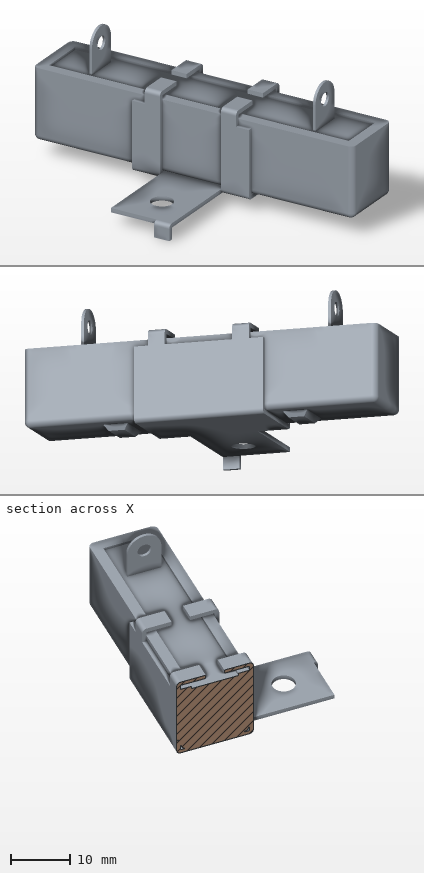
import cadquery as cq

body_length = 63.0
body_width = 12.5
body_height = 13.5
body_edge_radius = 1.0
rim_width = 2.0
recess_depth = 0.5

terminal_x = 22.0
terminal_width = 6.2
terminal_thickness = 0.5
terminal_height = 7.5
terminal_hole_diameter = 2.5
terminal_hole_height = 4.3
terminal_root_depth = 1.0

foot_x = 16.0
foot_height = 0.95
foot_top_size = (4.4, 7.2)
foot_bottom_size = (2.8, 5.7)

sheet = 0.8
clamp_length = 23.0
clamp_bend_radius = 0.8
shoulder_height = 12.3
finger_inner_x = 6.0
finger_width = 3.0
finger_top = 15.1
finger_tip_y = 1.7
clamp_half_width = body_width / 2 + sheet

overall_depth = 30.9
tab_width = 2 * finger_inner_x
tab_end_y = clamp_half_width - overall_depth
tab_hole_diameter = 4.1
tab_hole_y = -16.3
hook_width = 3.0
hook_bottom = -3.0
hook_bend_radius = 0.75


def box(x_range, y_range, z_range):
    """Axis-aligned box between pairs of limits."""
    size = [high - low for low, high in (x_range, y_range, z_range)]
    corner = (x_range[0], y_range[0], z_range[0])
    return cq.Workplane("XY").box(*size, centered=False).translate(corner)


def make_body():
    """Box with rounded uprights and bottom, and a shallow recess inside the rim."""
    body = cq.Workplane("XY").box(body_length, body_width, body_height, centered=(True, True, False))
    body = body.edges("|Z or <Z").fillet(body_edge_radius)
    recess = (
        cq.Workplane("XY", origin=(0, 0, body_height - recess_depth))
        .rect(body_length - 2 * rim_width, body_width - 2 * rim_width)
        .extrude(recess_depth)
    )
    return body.cut(recess)


def make_terminal(x):
    """Upright blade with a round top and a hole, rooted in the filling."""
    radius = terminal_width / 2
    shoulder = terminal_height - radius
    blade = (
        cq.Workplane("YZ", origin=(x, 0, body_height))
        .moveTo(-radius, -terminal_root_depth)
        .lineTo(radius, -terminal_root_depth)
        .lineTo(radius, shoulder)
        .threePointArc((0, terminal_height), (-radius, shoulder))
        .close()
        .extrude(terminal_thickness / 2, both=True)
    )
    hole = (
        cq.Workplane("YZ", origin=(x, 0, body_height))
        .center(0, terminal_hole_height)
        .circle(terminal_hole_diameter / 2)
        .extrude(terminal_thickness, both=True)
    )
    return blade.cut(hole)


def make_foot(x):
    """Tapered rectangular pad below the body."""
    return (
        cq.Workplane("XY", origin=(x, 0, 0))
        .rect(*foot_top_size)
        .workplane(offset=-foot_height)
        .rect(*foot_bottom_size)
        .loft()
    )


def make_clamp():
    """Folded sheet around the body, narrowing above its shoulders to four fingers."""
    half_length = clamp_length / 2
    height = finger_top + sheet
    clamp = (
        cq.Workplane("XY", origin=(0, 0, -sheet))
        .box(clamp_length, 2 * clamp_half_width, height, centered=(True, True, False))
        .edges("|X")
        .fillet(clamp_bend_radius)
    )
    inside_y = (-body_width / 2, body_width / 2)
    clamp = clamp.cut(box((-half_length, half_length), inside_y, (0, finger_top - sheet)))

    full_y = (-clamp_half_width, clamp_half_width)
    above_shoulder = (shoulder_height, finger_top)
    finger_outer_x = finger_inner_x + finger_width
    clamp = clamp.cut(box((-half_length, -finger_outer_x), full_y, above_shoulder))
    clamp = clamp.cut(box((finger_outer_x, half_length), full_y, above_shoulder))

    gap_x = (-finger_inner_x, finger_inner_x)
    clamp = clamp.cut(box(gap_x, full_y, above_shoulder))
    clamp = clamp.cut(box(gap_x, (-clamp_half_width, -body_width / 2), (-sheet, finger_top)))
    tip_gap_y = (-finger_tip_y, finger_tip_y)
    return clamp.cut(box((-half_length, half_length), tip_gap_y, above_shoulder))


def make_tab():
    """Flat mounting tab with a hole and a short downturned hook at one corner."""
    half_width = tab_width / 2
    hook_y = tab_end_y + sheet
    root_y = -body_width / 2 + sheet
    tab = box((-half_width, half_width), (hook_y, root_y), (-sheet, 0))
    hole = (
        cq.Workplane("XY", origin=(0, tab_hole_y, -sheet))
        .circle(tab_hole_diameter / 2)
        .extrude(sheet)
    )
    hook = box((half_width - hook_width, half_width), (tab_end_y, hook_y), (hook_bottom, 0))
    hook = hook.edges("|X and <Y and >Z").fillet(hook_bend_radius)
    return tab.cut(hole).union(hook)


result = make_body().union(make_clamp()).union(make_tab())
for side in (-1, 1):
    result = result.union(make_terminal(side * terminal_x))
    result = result.union(make_foot(side * foot_x))